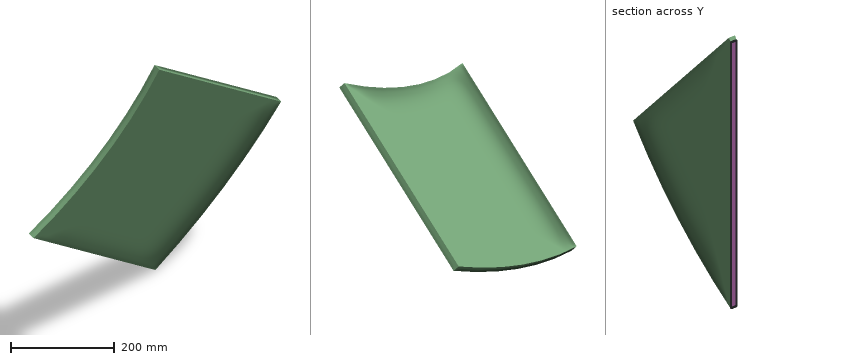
import cadquery as cq
import math

thickness = 15.0
width_y = 602.5
height_z = 603.0
top_y = 5.0
side_z = 12.5
upper_arc_depth = 30.0
lower_arc_depth = 19.5

top_corner = (top_y, height_z / 2)
right_corner = (-width_y / 2, side_z)
bottom_corner = (-top_y, -height_z / 2)
left_corner = (width_y / 2, -side_z)


def arc_middle(start, end, depth):
    """Middle of an arc that bows from its chord toward -Y and -Z."""
    run_y = start[0] - end[0]
    run_z = start[1] - end[1]
    chord = math.hypot(run_y, run_z)
    return (
        (start[0] + end[0]) / 2 + depth * run_z / chord,
        (start[1] + end[1]) / 2 - depth * run_y / chord,
    )


result = (
    cq.Workplane("YZ")
    .moveTo(*top_corner)
    .threePointArc(arc_middle(top_corner, right_corner, upper_arc_depth), right_corner)
    .lineTo(*bottom_corner)
    .threePointArc(arc_middle(left_corner, bottom_corner, lower_arc_depth), left_corner)
    .close()
    .extrude(thickness / 2, both=True)
)